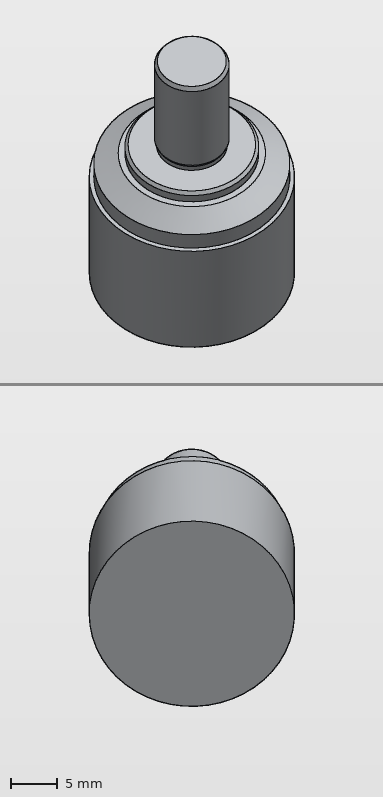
import cadquery as cq

base_diameter = 22.0
base_height = 15.0
recess_diameter = 21.02

cap_diameter = 21.0
cap_seat_depth = 1.0
cap_band_height = 2.08
cap_cone_height = 1.6
cap_roof_diameter = 15.77

overall_height = 33.01
shank_length = 13.0
flange_diameter = 14.35
flange_chamfer_height = 0.36
flange_chamfer_width = 0.35
neck_diameter = 7.61
neck_height = 0.6
shank_diameter = 8.0
shank_run_in_height = 0.4
shank_chamfer_height = 0.48
shank_chamfer_width = 0.31

cap_bottom_z = base_height - cap_seat_depth
cap_roof_z = base_height + cap_band_height + cap_cone_height
flange_top_z = overall_height - shank_length


def cylinder(diameter, height, bottom_z):
    """Solid cylinder on the Z axis."""
    return cq.Workplane("XY").workplane(offset=bottom_z).circle(diameter / 2).extrude(height)


def make_base():
    recess = cylinder(recess_diameter, cap_seat_depth, cap_bottom_z)
    return cylinder(base_diameter, base_height, 0).cut(recess)


def make_cap():
    cone_width = (cap_diameter - cap_roof_diameter) / 2
    blank = cylinder(cap_diameter, cap_roof_z - cap_bottom_z, cap_bottom_z)
    return blank.faces(">Z").edges().chamfer(cap_cone_height, cone_width)


def make_stud():
    """Flange, neck and shank turned as one profile, listed as (radius, z) from the axis outward and up."""
    flange_radius = flange_diameter / 2
    neck_radius = neck_diameter / 2
    shank_radius = shank_diameter / 2
    neck_top_z = flange_top_z + neck_height
    profile = [
        (0, cap_roof_z),
        (flange_radius, cap_roof_z),
        (flange_radius, flange_top_z - flange_chamfer_height),
        (flange_radius - flange_chamfer_width, flange_top_z),
        (neck_radius, flange_top_z),
        (neck_radius, neck_top_z),
        (shank_radius, neck_top_z + shank_run_in_height),
        (shank_radius, overall_height - shank_chamfer_height),
        (shank_radius - shank_chamfer_width, overall_height),
        (0, overall_height),
    ]
    return cq.Workplane("XZ").polyline(profile).close().revolve(360, (0, 0, 0), (0, 1, 0))


base = make_base()
cap = make_cap()
stud = make_stud()

result = cq.Compound.makeCompound([base.val(), cap.val(), stud.val()])